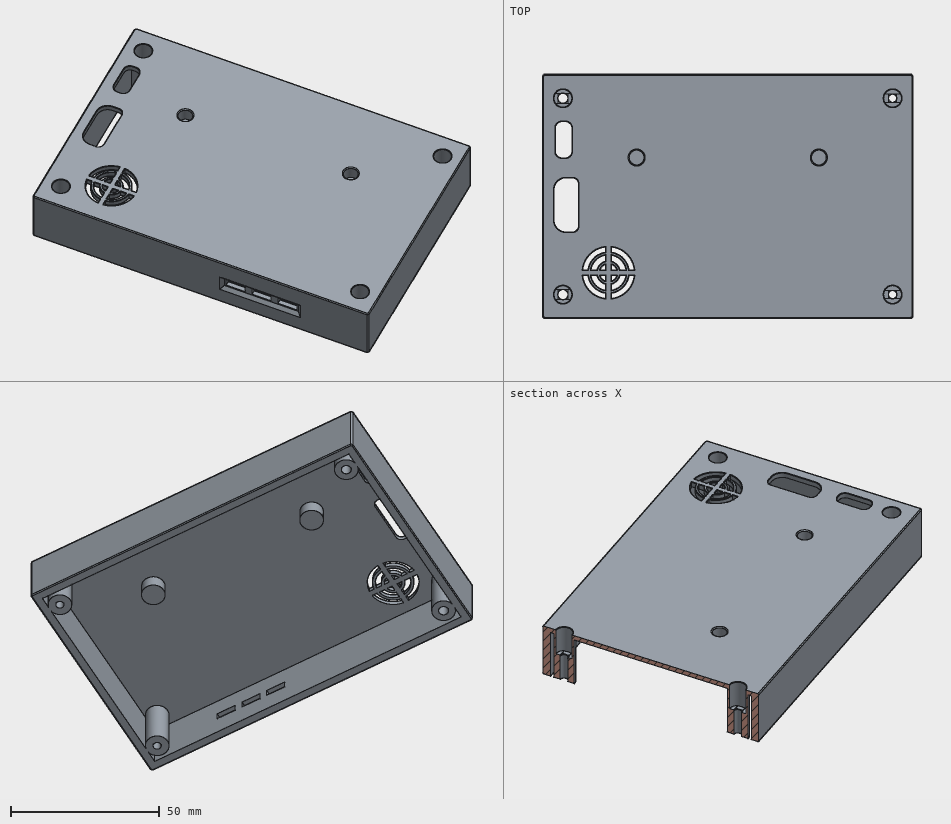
import cadquery as cq

LENGTH = 124.6
WIDTH = 82.2
HEIGHT = 20.3
WALL = 3.0
ROOF = 2.0
CORNER_CHAMFER = 0.56
EDGE_CHAMFER = 0.4

RIM_CHAMFER = 0.19
RIM_SLOPE = 45

SCREW_X = 55.5
SCREW_Y = 33.0
POST_DIAMETER = 8.0
HEAD_DIAMETER = 6.0
HEAD_DEPTH = 10.0
LEFT_SHANK_DIAMETER = 3.4
RIGHT_SHANK_DIAMETER = 2.7
BRIDGE_STEP = 0.2

POCKET_X = 30.7
POCKET_Y = 13.1
BOSS_DIAMETER = 8.0
POCKET_DIAMETER = 5.0
POCKET_DEPTH = 5.0
POCKET_CHAMFER = 0.4

SMALL_SLOT_CENTER = (-55.2, 19.1)
SMALL_SLOT_SIZE = (5.6, 12.2)
SMALL_SLOT_RADIUS = 2.2
LARGE_SLOT_CENTER = (-54.3, -2.9)
LARGE_SLOT_SIZE = (8.2, 18.2)
LARGE_SLOT_LEFT_RADIUS = 4.0
LARGE_SLOT_RIGHT_RADIUS = 2.0

FAN_CENTER = (-40.1, -25.7)
FAN_RING_OPENINGS = ((17.5, 14.0), (12.0, 8.0))
FAN_CORE_DIAMETER = 6.0
FAN_BAR_WIDTH = 2.0

PORT_X = 22.0
PORT_Z = 9.5
PORT_SIZE = (29.9, 6.2)
PORT_DEPTH = 1.2
PORT_SLOPE = 45
WINDOW_SIZE = (7.0, 2.7)
WINDOW_PITCH = 9.6
WINDOW_COUNT = 3

ROOF_Z = HEIGHT - ROOF


def cylinder(center, diameter, bottom, top):
    """Upright cylinder between two heights."""
    disc = cq.Workplane("XY", origin=(*center, bottom)).circle(diameter / 2)
    return disc.extrude(top - bottom)


def block(center, size, bottom, top):
    """Upright rectangular block between two heights."""
    return cq.Workplane("XY", origin=(*center, bottom)).rect(*size).extrude(top - bottom)


def with_flared_rim(cutter, flare=RIM_CHAMFER):
    """Cutter widened at its top, so that it leaves a chamfered rim in the top face."""
    flares = cutter
    for face in cutter.faces(">Z").vals():
        wire = cq.Workplane(face.outerWire().translate(cq.Vector(0, 0, -flare)))
        flares = flares.union(wire.toPending().extrude(flare, taper=-RIM_SLOPE))
    return flares


def shell():
    """Chamfered box with its inside cut out from below."""
    outside = cq.Workplane("XY").box(LENGTH, WIDTH, HEIGHT, centered=(True, True, False))
    inside = block((0, 0), (LENGTH - 2 * WALL, WIDTH - 2 * WALL), 0, ROOF_Z)
    outside = outside.edges("|Z").chamfer(CORNER_CHAMFER)
    return outside.faces("<Z or >Z").chamfer(EDGE_CHAMFER).cut(inside)


def screw_hole(center, shank):
    """Head recess over a shank hole; two thin bridging steps lead from one to the other."""
    floor = HEIGHT - HEAD_DEPTH
    recess = with_flared_rim(cylinder(center, HEAD_DIAMETER, floor, HEIGHT))
    strip = block(center, (HEAD_DIAMETER, shank), floor - BRIDGE_STEP, floor)
    strip = strip.intersect(cylinder(center, HEAD_DIAMETER, floor - BRIDGE_STEP, floor))
    square = block(center, (shank, shank), floor - 2 * BRIDGE_STEP, floor)
    return recess.union(strip).union(square).union(cylinder(center, shank, 0, floor))


def pocket(center):
    """Blind round pocket with a chamfered rim."""
    hole = cylinder(center, POCKET_DIAMETER, HEIGHT - POCKET_DEPTH, HEIGHT)
    return with_flared_rim(hole, POCKET_CHAMFER)


def slot(center, size, left_radius, right_radius):
    """Rounded slot through the top plate, with its own radius on each side."""
    cutter = block(center, size, ROOF_Z, HEIGHT)
    cutter = cutter.edges("|Z and <X").fillet(left_radius)
    cutter = cutter.edges("|Z and >X").fillet(right_radius)
    return with_flared_rim(cutter)


def fan_grille():
    """Ring openings and a round core, crossed by two bars."""
    openings = cylinder(FAN_CENTER, FAN_CORE_DIAMETER, ROOF_Z, HEIGHT)
    for outer, inner in FAN_RING_OPENINGS:
        ring = cylinder(FAN_CENTER, outer, ROOF_Z, HEIGHT)
        openings = openings.union(ring.cut(cylinder(FAN_CENTER, inner, ROOF_Z, HEIGHT)))
    span = FAN_RING_OPENINGS[0][0]
    for size in ((span, FAN_BAR_WIDTH), (FAN_BAR_WIDTH, span)):
        openings = openings.cut(block(FAN_CENTER, size, ROOF_Z, HEIGHT))
    return with_flared_rim(openings)


def connector_port():
    """Tapered recess in the front wall and the windows behind it."""
    front = cq.Workplane("XZ", origin=(PORT_X, -WIDTH / 2, PORT_Z))
    recess = front.rect(*PORT_SIZE).extrude(-PORT_DEPTH, taper=PORT_SLOPE)
    windows = front.rarray(WINDOW_PITCH, 1.2, WINDOW_COUNT, 1).rect(*WINDOW_SIZE).extrude(-WALL)
    return recess.union(windows)


result = shell()

for x in (-SCREW_X, SCREW_X):
    shank_diameter = LEFT_SHANK_DIAMETER if x < 0 else RIGHT_SHANK_DIAMETER
    for y in (-SCREW_Y, SCREW_Y):
        result = result.union(cylinder((x, y), POST_DIAMETER, 0, ROOF_Z))
        result = result.cut(screw_hole((x, y), shank_diameter))

boss_bottom = HEIGHT - POCKET_DEPTH - ROOF
for x in (-POCKET_X, POCKET_X):
    result = result.union(cylinder((x, POCKET_Y), BOSS_DIAMETER, boss_bottom, ROOF_Z))
    result = result.cut(pocket((x, POCKET_Y)))

result = result.cut(slot(SMALL_SLOT_CENTER, SMALL_SLOT_SIZE, SMALL_SLOT_RADIUS, SMALL_SLOT_RADIUS))
result = result.cut(
    slot(LARGE_SLOT_CENTER, LARGE_SLOT_SIZE, LARGE_SLOT_LEFT_RADIUS, LARGE_SLOT_RIGHT_RADIUS)
)
result = result.cut(fan_grille())
result = result.cut(connector_port())